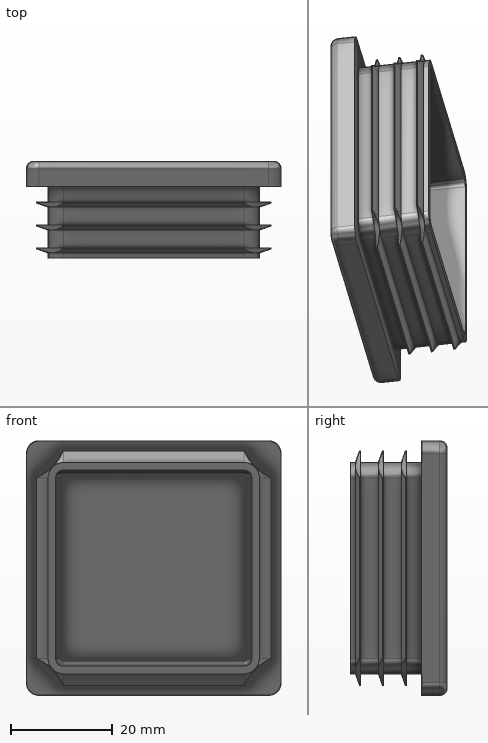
import cadquery as cq
import math


cap_size = 50.0
cap_thickness = 5.0
cap_corner_radius = 2.5
cap_rim_radius = 1.5

plug_size = 41.5
plug_length = 14.0
plug_corner_radius = 3.0

wall_thickness = 1.5
floor_thickness = 5.0
cavity_size = plug_size - 2 * wall_thickness
cavity_corner_radius = plug_corner_radius - wall_thickness
cavity_floor_radius = 1.0

fin_span = 46.0
fin_count = 3
fin_pitch = 4.5
fin_root_thickness = 1.0
fin_tip_thickness = 0.2
first_fin_offset = 1.0
fin_relief_radius = 10.0
fin_corner_web = 0.05

plug_half = plug_size / 2
fin_half = fin_span / 2
flat_half = plug_half - plug_corner_radius


def rounded_block(size, corner_radius, y_start, y_end):
    """Square block with rounded corners, running along Y."""
    block = cq.Workplane("XY").box(size, y_end - y_start, size)
    block = block.translate((0, (y_start + y_end) / 2, 0))
    return block.edges("|Y").fillet(corner_radius)


def make_cap():
    cap = rounded_block(cap_size, cap_corner_radius, 0, cap_thickness)
    return cap.faces(">Y").edges().fillet(cap_rim_radius)


def make_plug():
    return rounded_block(plug_size, plug_corner_radius, -plug_length, 0)


def make_cavity():
    cavity_end = cap_thickness - floor_thickness
    cavity = rounded_block(cavity_size, cavity_corner_radius, -plug_length, cavity_end)
    return cavity.faces(">Y").edges().fillet(cavity_floor_radius)


def make_corner_relief(y_start, x_side, z_side):
    """Cylinder along Y that hollows out one corner of a fin down to its web."""
    corner_reach = plug_corner_radius + fin_corner_web + fin_relief_radius
    axis_offset = flat_half + corner_reach / math.sqrt(2)
    return cq.Workplane(
        cq.Solid.makeCylinder(
            fin_relief_radius,
            fin_root_thickness,
            cq.Vector(x_side * axis_offset, y_start, z_side * axis_offset),
            cq.Vector(0, 1, 0),
        )
    )


def make_fin_ring(y_start):
    """Rounded square that widens from the fin root to its tip, then stays straight."""
    taper_length = fin_root_thickness - fin_tip_thickness
    fin_height = fin_half - plug_half
    taper_angle = math.degrees(math.atan2(fin_height, taper_length))
    root = cq.Sketch().rect(plug_size, plug_size).vertices().fillet(plug_corner_radius)
    widening = (
        cq.Workplane("XZ", origin=(0, y_start, 0))
        .placeSketch(root)
        .extrude(-taper_length, taper=-taper_angle)
    )
    tip = rounded_block(
        fin_span,
        plug_corner_radius + fin_height,
        y_start + taper_length,
        y_start + fin_root_thickness,
    )
    return widening.union(tip)


def make_fin(y_start):
    fin = make_fin_ring(y_start)
    for x_side in (-1, 1):
        for z_side in (-1, 1):
            fin = fin.cut(make_corner_relief(y_start, x_side, z_side))
    return fin


body = make_cap().union(make_plug())
for fin_index in range(fin_count):
    fin_start = -plug_length + first_fin_offset + fin_index * fin_pitch
    body = body.union(make_fin(fin_start))

result = body.cut(make_cavity())